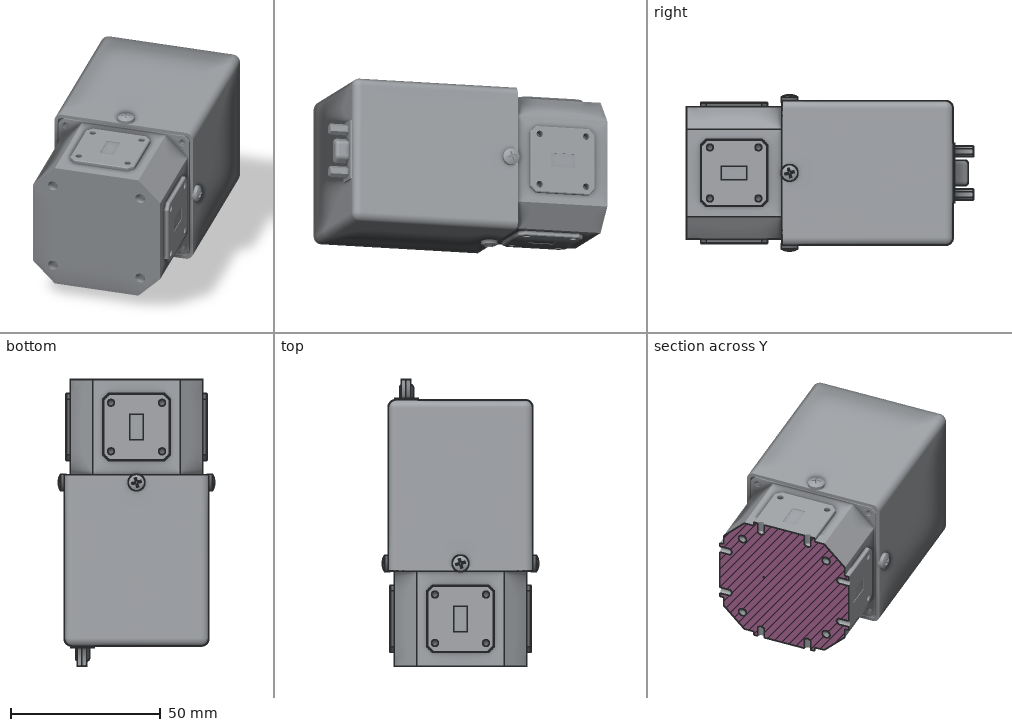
import cadquery as cq
import math

overall_length = 95.7
overall_width = 52.2

block_width = 44.2
block_length = 31.8
block_chamfer = 7.6
block_hole_diameter = 3.35
block_hole_pitch = 30.4
block_hole_depth = 7.7

housing_width = 48.2
housing_length = 57.1
housing_radius = 2.6
wall_thickness = 1.15
mouth_radius = 1.7
housing_back = block_length + housing_length

plate_width = 45.4
plate_chamfer = 1.8
plate_gap_depth = 1.9
plate_hole_pitch = 40.6
plate_bore_diameter = 2.4
plate_bore_depth = 0.5
plate_hole_diameter = 1.7
plate_hole_depth = 3.8

pad_width = 22.4
pad_height = 1.4
pad_chamfer = 1.9
pad_edge_chamfer = 0.3
pad_hole_diameter = 2.2
pad_hole_depth = 3.8
pad_hole_pitch_along = 16.2
pad_hole_pitch_across = 17.0
window_length = 8.5
window_width = 4.6
window_depth = 0.2

screw_y = 34.4
screw_diameter = 5.55
screw_height = (overall_width - housing_width) / 2
screw_rim_height = 1.15
cross_length = 3.1
cross_width = 0.6
cross_depth = 0.8
cross_angle = 15

connector_plate_x = -18.0
connector_plate_width = 7.8
connector_plate_length = 19.9
connector_plate_thickness = 0.6
shell_x = -18.0
shell_width = 4.7
shell_narrow_length = 5.55
shell_wide_length = 10.3
shell_narrow_radius = 1.4
shell_wide_radius = 1.4
shell_end_y = 94.0
shell_edge_radius = 1.2
post_x = -18.2
post_pitch = 14.4
post_across_corners = 3.7
post_chamfer = 0.3

drill_tip_angle = 118
overlap = 0.5


def facing_back(y):
    """Workplane at the given Y whose normal points to +Y, with local x along X and local y along -Z."""
    return cq.Workplane(cq.Plane(origin=(0, y, 0), xDir=(1, 0, 0), normal=(0, 1, 0)))


def chamfered_square(y, width, chamfer, length):
    """Square bar along Y with its four long edges chamfered."""
    return facing_back(y).rect(width, width).extrude(length).edges("|Y").chamfer(chamfer)


def rounded_square(y, width, radius, length):
    """Square bar along Y with its four long edges rounded."""
    return facing_back(y).rect(width, width).extrude(length).edges("|Y").fillet(radius)


def drilled_hole(diameter, depth):
    """Blind hole with a conical bottom, drilled down -Z from the origin."""
    radius = diameter / 2
    tip = radius / math.tan(math.radians(drill_tip_angle / 2))
    profile = [(0, 0), (radius, 0), (radius, -depth), (0, -depth - tip)]
    return cq.Workplane("XZ").polyline(profile).close().revolve(360, (0, 0, 0), (0, 1, 0))


def on_four_sides(shape):
    """Copies of a shape built on the +Z side, turned about Y onto all four sides."""
    copies = cq.Workplane()
    for turn in range(4):
        copies = copies.add(shape.rotate((0, 0, 0), (0, 1, 0), 90 * turn))
    return copies.combine()


def housing():
    """Housing with a narrow gap around its cover plate, and stepped holes in the plate corners."""
    body = rounded_square(block_length, housing_width, housing_radius, housing_length)
    body = body.faces(">Y").edges().fillet(housing_radius)
    mouth_width = housing_width - 2 * wall_thickness
    mouth = rounded_square(block_length, mouth_width, mouth_radius, plate_gap_depth)
    gap = mouth.cut(chamfered_square(block_length, plate_width, plate_chamfer, plate_gap_depth))
    corners = (
        facing_back(block_length)
        .rect(plate_hole_pitch, plate_hole_pitch, forConstruction=True)
        .vertices()
    )
    bores = corners.circle(plate_bore_diameter / 2).extrude(plate_bore_depth)
    holes = corners.circle(plate_hole_diameter / 2).extrude(plate_hole_depth)
    return body.cut(gap).cut(bores).cut(holes)


def block():
    """Octagonal block with four drilled holes in its front face."""
    body = chamfered_square(0, block_width, block_chamfer, block_length + overlap)
    hole = drilled_hole(block_hole_diameter, block_hole_depth).rotate((0, 0, 0), (1, 0, 0), 90)
    spots = facing_back(0).rect(block_hole_pitch, block_hole_pitch, forConstruction=True)
    for spot in spots.vertices().vals():
        body = body.cut(hole.translate(spot.Center()))
    return body


def pad():
    """Raised flange pad on the +Z side of the block."""
    plate = (
        cq.Workplane("XY", origin=(0, block_length / 2, block_width / 2 - overlap))
        .rect(pad_width, pad_width)
        .extrude(pad_height + overlap)
        .edges("|Z")
        .chamfer(pad_chamfer)
    )
    return plate.faces(">Z").edges().chamfer(pad_edge_chamfer)


def pad_openings():
    """Shallow waveguide window and four drilled holes in the +Z pad."""
    pad_face = cq.Workplane("XY", origin=(0, block_length / 2, block_width / 2 + pad_height))
    openings = pad_face.rect(window_width, window_length).extrude(-window_depth)
    hole = drilled_hole(pad_hole_diameter, pad_hole_depth)
    spots = pad_face.rect(pad_hole_pitch_across, pad_hole_pitch_along, forConstruction=True)
    for spot in spots.vertices().vals():
        openings = openings.add(hole.translate(spot.Center()))
    return openings.combine()


def screw():
    """Domed screw head with a cross recess, on the +Z side of the housing."""
    rim_radius = screw_diameter / 2
    dome_height = screw_height - screw_rim_height
    dome_radius = (rim_radius**2 + dome_height**2) / (2 * dome_height)
    head = (
        cq.Workplane("XZ")
        .moveTo(0, -overlap)
        .lineTo(rim_radius, -overlap)
        .lineTo(rim_radius, screw_rim_height)
        .radiusArc((0, screw_height), -dome_radius)
        .close()
        .revolve(360, (0, 0, 0), (0, 1, 0))
    )
    top = cq.Workplane("XY", origin=(0, 0, screw_height))
    for angle in (cross_angle, cross_angle + 90):
        slot = top.rect(cross_length, cross_width).extrude(-cross_depth)
        head = head.cut(slot.rotate((0, 0, 0), (0, 0, 1), angle))
    return head.translate((0, screw_y, housing_width / 2))


def connector_shell():
    """D-shaped connector shell, narrower on its -X side, with a rounded end."""
    side = shell_width / 2
    narrow = shell_narrow_length / 2
    wide = shell_wide_length / 2
    outline = [(-side, -narrow), (side, -wide), (side, wide), (-side, narrow)]
    shell = facing_back(housing_back).polyline(outline).close().extrude(shell_end_y - housing_back)
    shell = shell.edges("|Y and <X").fillet(shell_narrow_radius)
    shell = shell.edges("|Y and >X").fillet(shell_wide_radius)
    return shell.faces(">Y").edges().fillet(shell_edge_radius)


def connector_post():
    """Hexagonal post with corners toward +Z and -Z and a chamfered end."""
    length = overall_length - housing_back
    hexagon = facing_back(housing_back).transformed(rotate=(0, 0, 90)).polygon(6, post_across_corners)
    envelope = (
        facing_back(housing_back)
        .circle(post_across_corners / 2)
        .extrude(length)
        .faces(">Y")
        .chamfer(post_chamfer)
    )
    return hexagon.extrude(length).intersect(envelope)


def connector():
    """Rear connector: mounting plate, shell and two posts."""
    body = (
        facing_back(housing_back - overlap)
        .rect(connector_plate_width, connector_plate_length)
        .extrude(connector_plate_thickness + overlap)
        .translate((connector_plate_x, 0, 0))
    )
    body = body.union(connector_shell().translate((shell_x, 0, 0)))
    for side in (-1, 1):
        body = body.union(connector_post().translate((post_x, 0, side * post_pitch / 2)))
    return body


result = (
    housing()
    .union(block())
    .union(on_four_sides(pad()))
    .cut(on_four_sides(pad_openings()))
    .union(on_four_sides(screw()))
    .union(connector())
)